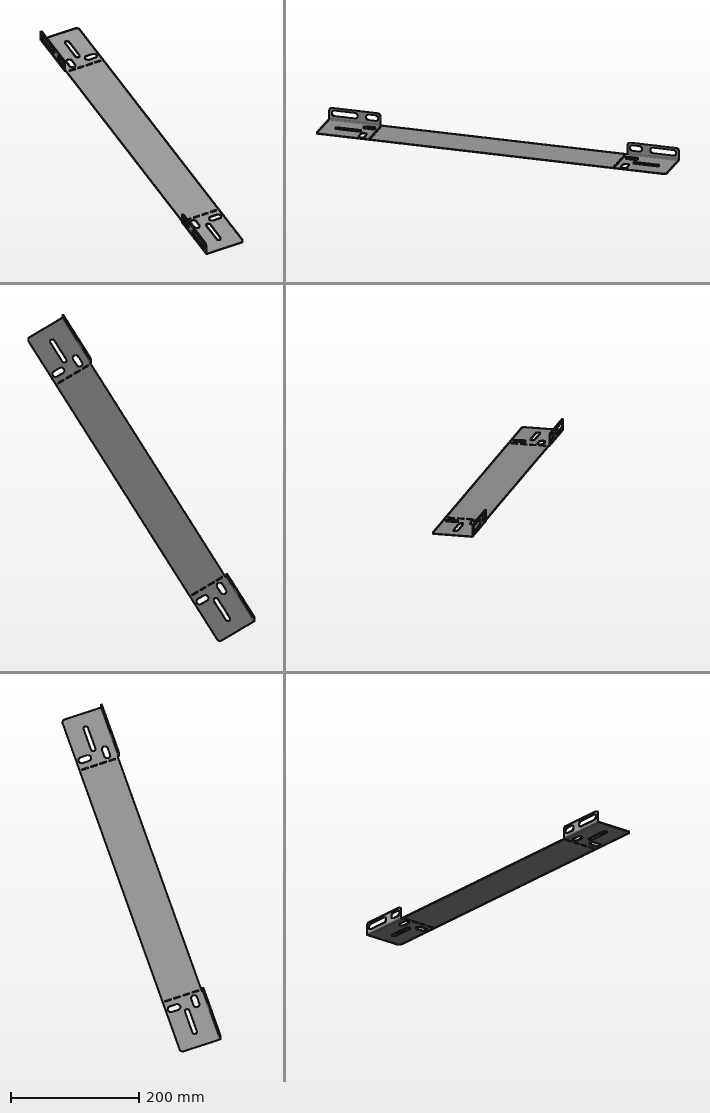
import cadquery as cq

LENGTH = 573.0
DEPTH = 66.0
HEIGHT = 20.0

THICKNESS = 1.2
BEND_RADIUS = 2.1
CORNER_RADIUS = 5.0

FLANGE_LENGTH = 84.0

CENTRE_LINE_FROM_BACK = 31.5

SHORT_SLOT_LENGTH = 20.0
LONG_SLOT_LENGTH = 42.5
SLOT_WIDTH = 9.0

FLANGE_SLOT_HEIGHT = 11.5
FLANGE_LONG_SLOT_INSET = 26.0
FLANGE_SHORT_SLOT_INSET = 70.5

PLATE_LONG_SLOT_WIDTH = 7.0
PLATE_LONG_SLOT_INSET = 42.5
PLATE_SHORT_SLOT_INSET = 71.5
CROSS_SLOT_WIDTH = 10.0
CROSS_SLOT_FROM_BACK = 14.0
FRONT_SLOT_FROM_BACK = 48.5

PERFORATION_COUNT = 4
PERFORATION_LENGTH = 10.0
PERFORATION_WIDTH = 1.0
PERFORATION_PITCH = 15.0
PERFORATION_INSET = 86.5

END_X = LENGTH / 2
FRONT_Y = -DEPTH / 2
BACK_Y = DEPTH / 2
PLATE_FRONT_Y = FRONT_Y + BEND_RADIUS
INNER_BEND_RADIUS = BEND_RADIUS - THICKNESS


def make_plate():
    """Flat plate, ending where the bends begin, with rounded back corners."""
    plate = cq.Workplane("XY").box(
        LENGTH, BACK_Y - PLATE_FRONT_Y, THICKNESS, centered=(True, False, False)
    )
    plate = plate.translate((0, PLATE_FRONT_Y, 0))
    return plate.edges("|Z and >Y").fillet(CORNER_RADIUS)


def make_flange(side):
    """Bend and upright flange at one end: side is -1 for the left, 1 for the right."""
    flange = (
        cq.Workplane("YZ")
        .moveTo(PLATE_FRONT_Y, 0)
        .radiusArc((FRONT_Y, BEND_RADIUS), BEND_RADIUS)
        .lineTo(FRONT_Y, HEIGHT)
        .lineTo(FRONT_Y + THICKNESS, HEIGHT)
        .lineTo(FRONT_Y + THICKNESS, BEND_RADIUS)
        .radiusArc((PLATE_FRONT_Y, THICKNESS), -INNER_BEND_RADIUS)
        .close()
        .extrude(FLANGE_LENGTH)
        .edges("|Y and >Z")
        .fillet(CORNER_RADIUS)
    )
    start_x = -END_X if side < 0 else END_X - FLANGE_LENGTH
    return flange.translate((start_x, 0, 0))


def plate_slot(side, inset, from_back, length, width, angle=0):
    """Cutter for a round-ended slot through the plate."""
    centre = (side * (END_X - inset), BACK_Y - from_back)
    return cq.Workplane("XY").center(*centre).slot2D(length, width, angle).extrude(THICKNESS)


def flange_slot(side, inset, length):
    """Cutter for a round-ended slot through a flange."""
    return (
        cq.Workplane("XZ", origin=(0, FRONT_Y, 0))
        .center(side * (END_X - inset), FLANGE_SLOT_HEIGHT)
        .slot2D(length, SLOT_WIDTH)
        .extrude(-THICKNESS)
    )


def perforation(side, index):
    """Cutter for one narrow rectangular perforation; index counts from the back."""
    offset = (index - (PERFORATION_COUNT - 1) / 2) * PERFORATION_PITCH
    centre = (side * (END_X - PERFORATION_INSET), BACK_Y - CENTRE_LINE_FROM_BACK - offset)
    return (
        cq.Workplane("XY")
        .center(*centre)
        .rect(PERFORATION_WIDTH, PERFORATION_LENGTH)
        .extrude(THICKNESS)
    )


def end_cutters(side):
    """All the cutters for one end of the part."""
    cutters = [
        flange_slot(side, FLANGE_LONG_SLOT_INSET, LONG_SLOT_LENGTH),
        flange_slot(side, FLANGE_SHORT_SLOT_INSET, SHORT_SLOT_LENGTH),
        plate_slot(
            side,
            PLATE_LONG_SLOT_INSET,
            CENTRE_LINE_FROM_BACK,
            LONG_SLOT_LENGTH,
            PLATE_LONG_SLOT_WIDTH,
        ),
        plate_slot(
            side,
            PLATE_SHORT_SLOT_INSET,
            CROSS_SLOT_FROM_BACK,
            SHORT_SLOT_LENGTH,
            CROSS_SLOT_WIDTH,
            angle=90,
        ),
        plate_slot(
            side,
            PLATE_SHORT_SLOT_INSET,
            FRONT_SLOT_FROM_BACK,
            SHORT_SLOT_LENGTH,
            SLOT_WIDTH,
        ),
    ]
    for index in range(PERFORATION_COUNT):
        cutters.append(perforation(side, index))
    return cutters


result = make_plate()
for side in (-1, 1):
    result = result.union(make_flange(side))
    for cutter in end_cutters(side):
        result = result.cut(cutter)